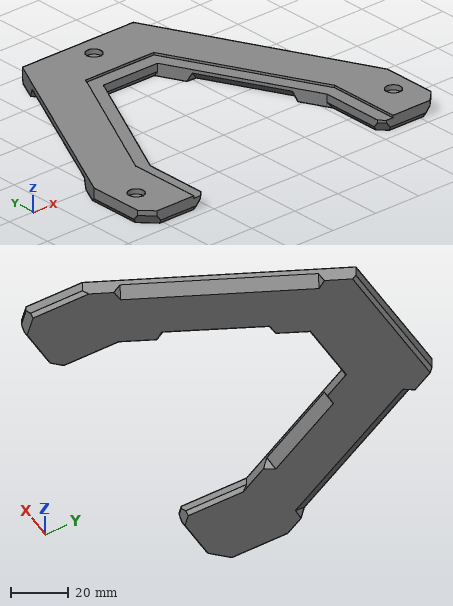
import cadquery as cq
import math

half_width = 68.5
depth = 113.5
thickness = 6.0

outer_top_half = 25.9
outer_shoulder_y = 27.7
outer_corner = 4.8

bay_half = 41.2
bay_shoulder_y = 28.8
bay_top_half = 12.6
bay_top_y = 85.8
bay_corner = 2.2

ledge_half = 46.5
ledge_shoulder_y = 30.7
ledge_top_half = 15.9
ledge_top_y = 91.4
ledge_drop = 1.0

bevel_lean = math.tan(math.radians(30))
edge_bevel_height = 1.8
corner_bevel_height = 4.0

undercut_height = 3.7
undercut_margin = 13.2

hole_diameter = 6.3
hole_depth = 2.0
hole_half_spacing = 60.0
front_hole_y = 15.1
rear_hole_y = 105.0

clearance = 4.1


def bay_points(half, shoulder_y, top_half, top_y):
    """Five-sided bay outline, open toward -Y."""
    return [(-half, -clearance), (-half, shoulder_y), (-top_half, top_y),
            (top_half, top_y), (half, shoulder_y), (half, -clearance)]


def edge_plane(start, end):
    """Local x runs along the edge, y up, z outward; material lies left of start -> end."""
    direction = (end[0] - start[0], end[1] - start[1], 0)
    outward = (direction[1], -direction[0], 0)
    return cq.Plane(origin=(start[0], start[1], 0), xDir=direction, normal=outward)


def edge_bevel(start, end, height):
    """Wedge that bevels a lower edge and runs past both of its ends."""
    length = math.dist(start, end)
    along = edge_plane(start, end).xDir
    profile_plane = cq.Plane(
        origin=(start[0] - clearance * along.x, start[1] - clearance * along.y, 0),
        xDir=(0, 0, 1), normal=along.toTuple())
    profile = [(0, 0), (height, 0), (0, -height * bevel_lean)]
    return (cq.Workplane(profile_plane).polyline(profile).close()
            .extrude(length + 2 * clearance))


def undercut_window(length, margin):
    """Trapezoid along an edge, flared toward the lower face at both ends."""
    flare = undercut_height * bevel_lean
    return [(margin - flare, 0), (margin, undercut_height),
            (length - margin, undercut_height), (length - margin + flare, 0)]


def arm_undercut(start, end):
    """45 degree undercut with slanted end walls, narrowing into the material."""
    length = math.dist(start, end)
    inner_margin = undercut_margin + undercut_height * bevel_lean
    window = (cq.Workplane(edge_plane(start, end))
              .polyline(undercut_window(length, undercut_margin)).close()
              .workplane(offset=-undercut_height)
              .polyline(undercut_window(length, inner_margin)).close()
              .loft(ruled=True))
    profile_plane = cq.Plane(origin=(start[0], start[1], 0), xDir=(0, 0, 1),
                             normal=edge_plane(start, end).xDir.toTuple())
    wedge = (cq.Workplane(profile_plane)
             .polyline([(0, 0), (undercut_height, 0), (0, -undercut_height)]).close()
             .extrude(length))
    return window.intersect(wedge)


def mirrored(body):
    """The body together with its mirror image across X = 0."""
    return body.union(body.mirror("YZ"))


front_outer = (-half_width + outer_corner, 0)
side_front = (-half_width, outer_corner)
side_rear = (-half_width, outer_shoulder_y)
rear_left = (-outer_top_half, depth)
bay_rear = (-bay_top_half, bay_top_y)
bay_shoulder = (-bay_half, bay_shoulder_y)
bay_front = (-bay_half, bay_corner)
front_inner = (-bay_half - bay_corner, 0)
left_half = [(0, depth), rear_left, side_rear, side_front, front_outer,
             front_inner, bay_front, bay_shoulder, bay_rear, (0, bay_top_y)]
result = mirrored(cq.Workplane("XY").polyline(left_half).close().extrude(thickness)).clean()

result = result.cut(
    cq.Workplane("XY").workplane(offset=thickness - ledge_drop)
    .polyline(bay_points(ledge_half, ledge_shoulder_y, ledge_top_half, ledge_top_y)).close()
    .extrude(ledge_drop))

bevels = [
    (side_rear, side_front, edge_bevel_height),
    (side_front, front_outer, corner_bevel_height),
    (front_outer, front_inner, edge_bevel_height),
    (front_inner, bay_front, corner_bevel_height),
]
for start, end, height in bevels:
    result = result.cut(mirrored(edge_bevel(start, end, height)))
result = result.cut(edge_bevel((outer_top_half, depth), rear_left, edge_bevel_height))

bevel_width = edge_bevel_height * bevel_lean
arm_slope = (bay_top_y - bay_shoulder_y) / (bay_half - bay_top_half)
bay_at_bottom = bay_points(bay_half + bevel_width, bay_shoulder_y - bevel_width * arm_slope,
                           bay_top_half - bevel_width / arm_slope, bay_top_y + bevel_width)
result = result.cut(
    cq.Workplane("XY").polyline(bay_at_bottom).close()
    .workplane(offset=edge_bevel_height)
    .polyline(bay_points(bay_half, bay_shoulder_y, bay_top_half, bay_top_y)).close()
    .loft(ruled=True))

for start, end in [(rear_left, side_rear), (bay_shoulder, bay_rear)]:
    result = result.cut(mirrored(arm_undercut(start, end)))

hole_centers = [(0, rear_hole_y), (-hole_half_spacing, front_hole_y), (hole_half_spacing, front_hole_y)]
result = result.cut(
    cq.Workplane("XY").workplane(offset=thickness - hole_depth)
    .pushPoints(hole_centers).circle(hole_diameter / 2).extrude(hole_depth))